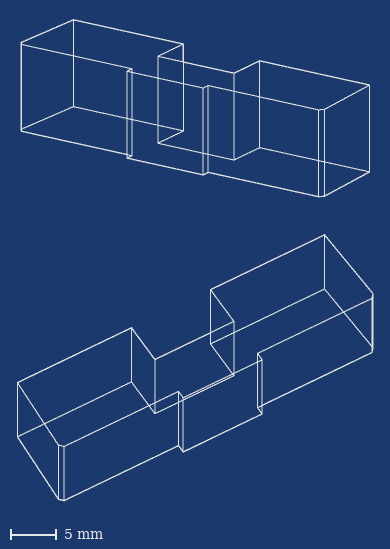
import cadquery as cq

length = 39.92
height = 10.0
body_depth = 10.0
pad_depth = 1.0

center_width = 10.0
notch_depth = 5.0

back_inset = 0.48
bevel_along_x = 0.45
bevel_along_y = 0.48

half_length = length / 2
half_center = center_width / 2
notch_floor = body_depth - notch_depth

right_half = [
    (half_center, -pad_depth),
    (half_center, 0),
    (half_length - bevel_along_x, 0),
    (half_length, bevel_along_y),
    (half_length - back_inset, body_depth),
    (half_center, body_depth),
    (half_center, notch_floor),
]
left_half = [(-x, y) for x, y in reversed(right_half)]

result = (
    cq.Workplane("XY")
    .polyline(right_half + left_half)
    .close()
    .extrude(height / 2, both=True)
)